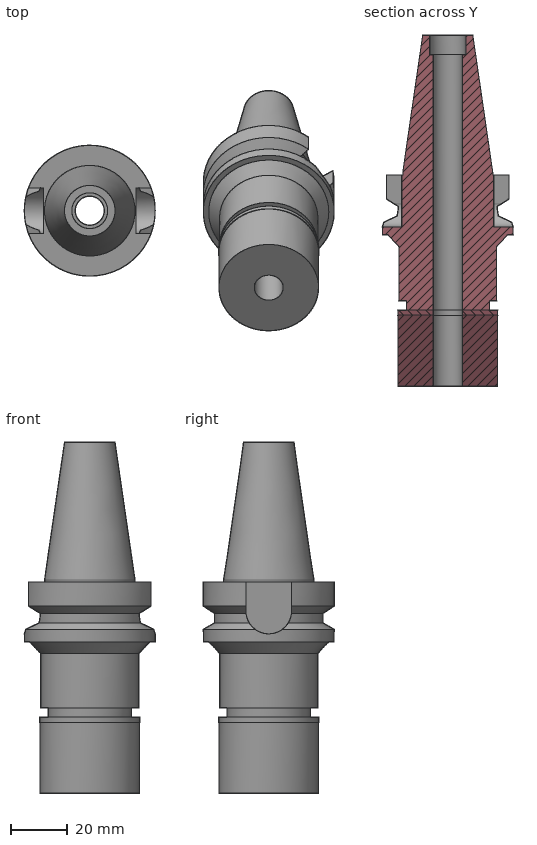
import cadquery as cq

total_height = 123.4
gauge_z = 75.0
flange_top_z = 74.3
groove_top_z = 65.8
groove_wall_top_z = 63.2
groove_wall_bottom_z = 59.8
groove_bottom_z = 57.6
flange_bottom_z = 53.2
cone_bottom_z = 49.1
neck_top_z = 30.0
ring_top_z = 26.8
ring_bottom_z = 24.9

taper_small_radius = 8.9
taper_large_radius = 15.9
flange_radius = 46.0 / 2
groove_radius = 19.1
cone_top_radius = 21.1
body_radius = 17.3
neck_radius = 14.7
ring_radius = 17.6
nut_radius = 17.5

bore_radius = 5.0
counterbore_radius = 6.3
counterbore_depth = 6.9

slot_width = 16
slot_floor_x = 16.2
slot_bottom_z = 56.0


def make_tube(radius, bottom_z, top_z):
    """Plain cylinder around the Z axis with the common bore."""
    return (
        cq.Workplane("XY", origin=(0, 0, bottom_z))
        .circle(radius)
        .circle(bore_radius)
        .extrude(top_z - bottom_z)
    )


def make_drive_slot(side):
    """Round-bottomed slot cutter, open at the flange top and rim; side is -1 or +1."""
    slot_radius = slot_width / 2
    arc_center_z = slot_bottom_z + slot_radius
    return (
        cq.Workplane("YZ", origin=(side * slot_floor_x, 0, 0))
        .moveTo(-slot_radius, flange_top_z)
        .lineTo(-slot_radius, arc_center_z)
        .threePointArc((0, slot_bottom_z), (slot_radius, arc_center_z))
        .lineTo(slot_radius, flange_top_z)
        .close()
        .extrude(side * flange_radius)
    )


def make_holder():
    """Taper shank, grooved flange, body and neck turned as one piece."""
    counterbore_floor_z = total_height - counterbore_depth
    profile = [
        (bore_radius, ring_top_z),
        (neck_radius, ring_top_z),
        (neck_radius, neck_top_z),
        (body_radius, neck_top_z),
        (body_radius, cone_bottom_z),
        (cone_top_radius, flange_bottom_z),
        (flange_radius, flange_bottom_z),
        (flange_radius, groove_bottom_z),
        (groove_radius, groove_wall_bottom_z),
        (groove_radius, groove_wall_top_z),
        (flange_radius, groove_top_z),
        (flange_radius, flange_top_z),
        (taper_large_radius, flange_top_z),
        (taper_large_radius, gauge_z),
        (taper_small_radius, total_height),
        (counterbore_radius, total_height),
        (counterbore_radius, counterbore_floor_z),
        (bore_radius, counterbore_floor_z),
    ]
    holder = cq.Workplane("XZ").polyline(profile).close().revolve(360, (0, 0, 0), (0, 1, 0))
    for side in (-1, 1):
        holder = holder.cut(make_drive_slot(side))
    return holder


holder = make_holder()
ring = make_tube(ring_radius, ring_bottom_z, ring_top_z)
nut = make_tube(nut_radius, 0, ring_bottom_z)

result = cq.Compound.makeCompound([holder.val(), ring.val(), nut.val()])